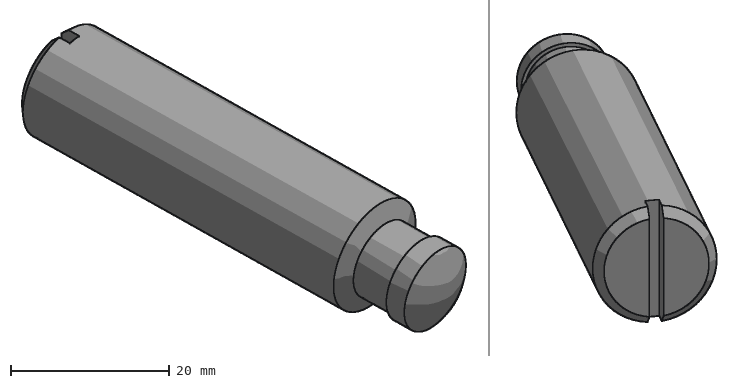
import cadquery as cq

length = 65.0
body_diameter = 16.0
neck_diameter = 11.0
head_diameter = 12.0

end_chamfer = 1.25
shoulder_length = 1.2
neck_length = 5.9
head_length = 3.0
dome_height = 2.0

slot_width = 1.8
slot_depth = 3.0

body_radius = body_diameter / 2
neck_radius = neck_diameter / 2
head_radius = head_diameter / 2

head_end = length - dome_height
head_start = head_end - head_length
neck_start = head_start - neck_length
body_end = neck_start - shoulder_length

dome_radius = (head_radius**2 + dome_height**2) / (2 * dome_height)
dome_center = length - dome_radius
mid_radius = head_radius / 2
dome_mid_x = dome_center + (dome_radius**2 - mid_radius**2) ** 0.5


def make_pin():
    """Revolve the half profile of the pin about the X axis."""
    profile = (
        cq.Workplane("XY")
        .lineTo(0, body_radius - end_chamfer)
        .lineTo(end_chamfer, body_radius)
        .lineTo(body_end, body_radius)
        .lineTo(neck_start, neck_radius)
        .lineTo(head_start, neck_radius)
        .lineTo(head_start, head_radius)
        .lineTo(head_end, head_radius)
        .threePointArc((dome_mid_x, mid_radius), (length, 0))
        .close()
    )
    return profile.revolve(360, (0, 0, 0), (1, 0, 0))


def make_slot():
    """Slot across the full diameter of the flat end, running along Z."""
    return cq.Workplane("XY").box(
        slot_depth, slot_width, body_diameter, centered=(False, True, True)
    )


result = make_pin().cut(make_slot())